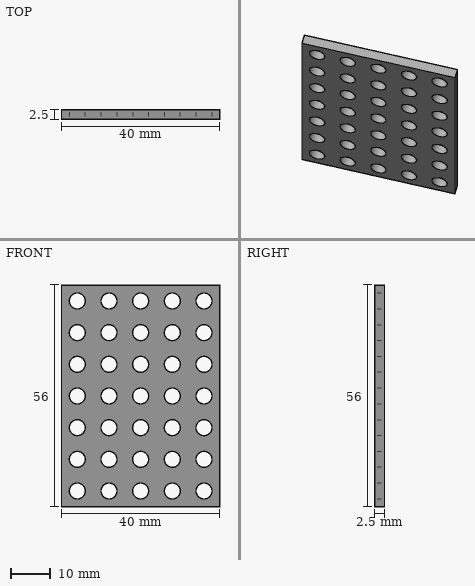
import cadquery as cq

height = 56.0
thickness = 2.5
hole_diameter = 4.0
columns = 5
rows = 7

pitch = height / rows
width = columns * pitch

plate = cq.Workplane("XY").box(width, thickness, height)

result = (
    plate.faces("<Y")
    .workplane(centerOption="CenterOfBoundBox")
    .rarray(pitch, pitch, columns, rows)
    .hole(hole_diameter)
)